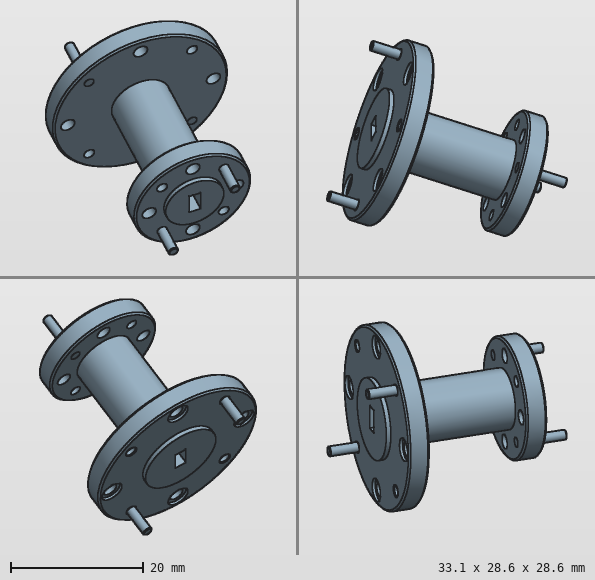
import cadquery as cq
import math

face_spacing = 24.0
flange_thickness = 3.35
flange_chamfer = 0.3
boss_height = 0.73

large_flange_diameter = 28.58
large_boss_diameter = 12.7
large_circle_diameter = 23.8

small_flange_diameter = 19.05
tube_diameter = 9.5
small_circle_diameter = 14.3

channel_width = 1.9
channel_height = 3.75

bolt_hole_diameter = 2.25
counterbore_diameter = 3.58
counterbore_depth = 0.5
dowel_hole_diameter = 1.7
dowel_hole_chamfer = 0.13

overall_length = 33.15
pin_diameter = 1.55
pin_chamfer = 0.13
pin_projection = (overall_length - face_spacing) / 2
pin_length = flange_thickness + pin_projection

small_flange_start = face_spacing - flange_thickness
bolt_angles = [0, 90, 180, 270]
large_pin_angles = [135, 315]
large_dowel_hole_angles = [45, 225]
small_pin_angles = [45, 225]
small_dowel_hole_angles = [135, 315]


def rod(diameter, start, length, y=0.0, z=0.0):
    """Cylinder along +X starting at X = start."""
    base_center = cq.Vector(start, y, z)
    return cq.Workplane(cq.Solid.makeCylinder(diameter / 2, length, base_center, cq.Vector(1, 0, 0)))


def circle_points(pitch_diameter, angles):
    """(Y, Z) places on a pitch circle, angles measured from +Y toward +Z."""
    radius = pitch_diameter / 2
    points = []
    for angle in angles:
        turn = math.radians(angle)
        points.append((radius * math.cos(turn), radius * math.sin(turn)))
    return points


def make_flange(diameter, start):
    """Disc with both rims chamfered."""
    return rod(diameter, start, flange_thickness).edges("%CIRCLE").chamfer(flange_chamfer)


def drill(body, diameter, start, depth, points):
    """Cut a round hole along +X at each place."""
    for y, z in points:
        body = body.cut(rod(diameter, start, depth, y, z))
    return body


def countersink(body, diameter, points):
    """Break the edges of holes on the outer face of the large flange."""
    hole_radius = diameter / 2
    mouth_radius = hole_radius + dowel_hole_chamfer
    for y, z in points:
        mouth = cq.Vector(0, y, z)
        cone = cq.Solid.makeCone(mouth_radius, hole_radius, dowel_hole_chamfer, mouth, cq.Vector(1, 0, 0))
        body = body.cut(cq.Workplane(cone))
    return body


def make_waveguide():
    """Tube with a flange at each end and a rectangular channel right through."""
    body = make_flange(large_flange_diameter, 0)
    body = body.union(make_flange(small_flange_diameter, small_flange_start))
    body = body.union(rod(large_boss_diameter, -boss_height, boss_height))
    body = body.union(rod(tube_diameter, 0, face_spacing + boss_height))

    total_length = face_spacing + 2 * boss_height
    channel = cq.Workplane("XY").box(total_length, channel_width, channel_height)
    body = body.cut(channel.translate((face_spacing / 2, 0, 0)))

    bolts = circle_points(large_circle_diameter, bolt_angles)
    dowels = circle_points(large_circle_diameter, large_dowel_hole_angles)
    seats = circle_points(large_circle_diameter, large_pin_angles)
    body = drill(body, bolt_hole_diameter, 0, flange_thickness, bolts)
    body = drill(body, counterbore_diameter, 0, counterbore_depth, bolts)
    body = drill(body, dowel_hole_diameter, 0, flange_thickness, dowels)
    body = countersink(body, dowel_hole_diameter, dowels)
    body = drill(body, pin_diameter, 0, flange_thickness, seats)
    body = countersink(body, pin_diameter, seats)

    bolts = circle_points(small_circle_diameter, bolt_angles)
    dowels = circle_points(small_circle_diameter, small_dowel_hole_angles)
    seats = circle_points(small_circle_diameter, small_pin_angles)
    body = drill(body, bolt_hole_diameter, small_flange_start, flange_thickness, bolts)
    body = drill(body, dowel_hole_diameter, small_flange_start, flange_thickness, dowels)
    body = drill(body, pin_diameter, small_flange_start, flange_thickness, seats)
    return body


def make_pin(start, tip_side, y, z):
    """Dowel pin starting at X = start, with its chamfered tip on the tip_side face."""
    return rod(pin_diameter, start, pin_length, y, z).faces(tip_side).chamfer(pin_chamfer)


waveguide = make_waveguide()

pins = []
for pin_y, pin_z in circle_points(large_circle_diameter, large_pin_angles):
    pins.append(make_pin(-pin_projection, "<X", pin_y, pin_z).val())
for pin_y, pin_z in circle_points(small_circle_diameter, small_pin_angles):
    pins.append(make_pin(small_flange_start, ">X", pin_y, pin_z).val())

result = cq.Compound.makeCompound([waveguide.val(), *pins])